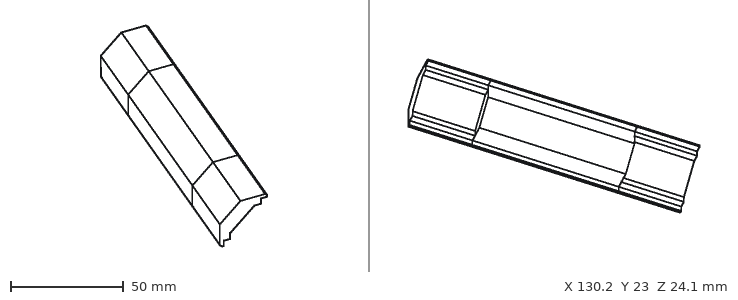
import cadquery as cq
import math

overall_length = 130.2
width = 23.0
tilt = 0.5
end_length = 30.0
corner_cut = 10.0
flange_thickness = 2.0
flange_overhang = 3.0
shell_depth = 5.0
shell_diagonal = 11.7
edge_bevel = 1.0

tilt_angle = math.radians(tilt)
length = (overall_length - width * math.sin(tilt_angle)) / math.cos(tilt_angle)
middle_length = length - 2 * end_length
core_back = width - flange_overhang


def mirrored(points):
    """Reflect (behind front, below top) points across the section's diagonal, in reverse order."""
    return [(below, behind) for behind, below in reversed(points)]


def section_body(inner_half, start, body_length):
    """Extrude one section along X; inner_half lists its upper inner corners.

    Points are (distance from the front face, distance below the top face).
    """
    upper_half = [
        (corner_cut, 0),
        (width - edge_bevel, 0),
        (width, edge_bevel),
        (width, flange_thickness),
        (core_back, flange_thickness),
        *inner_half,
    ]
    outline = upper_half + mirrored(upper_half)
    points = [(behind, -below) for behind, below in outline]
    body = cq.Workplane("YZ", origin=(start, 0, 0)).polyline(points).close().extrude(body_length)
    return body.rotate((0, 0, 0), (0, 1, 0), -tilt)


def end_section(start):
    """Thin shell with a sloping inner face."""
    slope_start = corner_cut + shell_diagonal - shell_depth
    return section_body([(core_back, shell_depth), (slope_start, shell_depth)], start, end_length)


def middle_section():
    """Thick core filling the inner corner, cut at 45 degrees."""
    return section_body([(core_back, core_back - corner_cut)], end_length, middle_length)


end_starts = [0, length - end_length]
ends = [end_section(start) for start in end_starts]
middle = middle_section()

result = cq.Compound.makeCompound([middle.val(), *[end.val() for end in ends]])